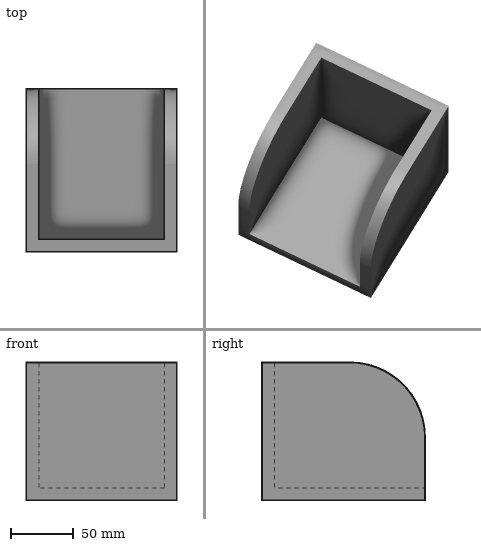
import cadquery as cq

width = 120.0
depth = 130.0
height = 110.0

wall = 10.0
corner_radius = 60.0


def outer_block():
    """Solid block with its upper rear edge rounded."""
    block = cq.Workplane("XY").box(width, depth, height, centered=(True, True, False))
    return block.edges(">Y and >Z").fillet(corner_radius)


def cavity():
    """Space between the side walls, open at the top and at the rear."""
    return (
        cq.Workplane("XY")
        .box(width - 2 * wall, depth, height, centered=(True, True, False))
        .translate((0, wall, wall))
    )


result = outer_block().cut(cavity())